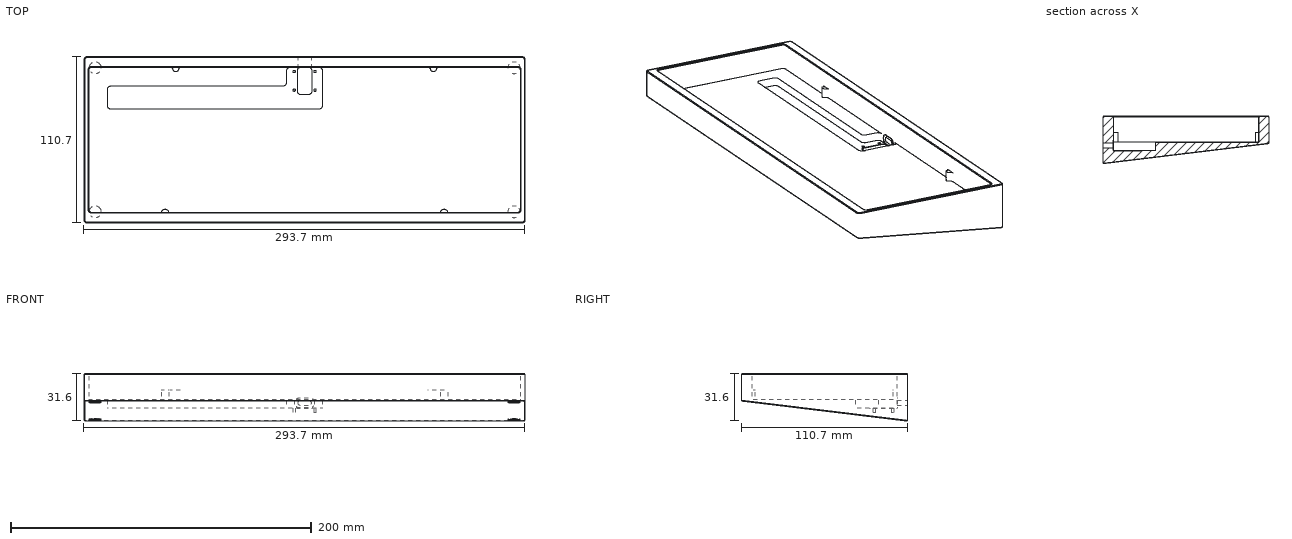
import cadquery as cq
import math

LENGTH = 293.7
DEPTH = 110.7
HEIGHT = 31.61
SLOPE = math.radians(6.9)
CORNER_RADIUS = 2.0
EDGE_CHAMFER = 0.5

BACK_BOTTOM = -EDGE_CHAMFER * math.sin(SLOPE)
FRONT_BOTTOM = BACK_BOTTOM + DEPTH * math.tan(SLOPE)

SIDE_WALL = 3.2
END_WALL = 7.05
CAVITY_DEPTH = 17.25
CAVITY_RADIUS = 1.75
CAVITY_LENGTH = LENGTH - 2 * SIDE_WALL
CAVITY_WIDTH = DEPTH - 2 * END_WALL
CAVITY_BACK = CAVITY_WIDTH / 2
FLOOR_Z = HEIGHT - CAVITY_DEPTH

TROUGH_DEPTH = 5.5
TROUGH_Z = FLOOR_Z - TROUGH_DEPTH
TROUGH_RADIUS = 2.5
TROUGH_LEFT = -131.4
TROUGH_FRONT = 20.5
CHANNEL_BACK = 35.8
BAY_WIDTH = 24.0

RELIEF_WIDTH = 9.7
RELIEF_FRONT = 30.2
RELIEF_LENGTH = CAVITY_BACK - RELIEF_FRONT
RELIEF_DEPTH = 0.4
RELIEF_RADIUS = 2.3

SCREW_DIAMETER = 1.6
SCREW_DEPTH = 3.0
SCREW_SPACING_X = 13.9
SCREW_ROWS_Y = (33.1, 45.5)

PORT_Z = 12.1
PORT_WIDTH = 9.0
PORT_HEIGHT = 3.2
SEAT_WIDTH = 13.5
SEAT_HEIGHT = 6.4
SEAT_DEPTH = 0.3

POST_HEIGHT = 6.3
BACK_POST_X = 85.8
BACK_POST_REACH = 2.9
BACK_POST_RADIUS = 2.0
BACK_POST_FILLET = 1.6
FRONT_POST_X = 92.9
FRONT_POST_REACH = 2.1
FRONT_POST_RADIUS = 2.5

FOOT_DIAMETER = 8.0
FOOT_DEPTH = 0.5
FOOT_INSET = 7.4

SIDES = (-1, 1)


def level(z):
    return cq.Workplane("XY", origin=(0, 0, z))


def wedge():
    profile = [
        (-DEPTH / 2, FRONT_BOTTOM),
        (DEPTH / 2, BACK_BOTTOM),
        (DEPTH / 2, HEIGHT),
        (-DEPTH / 2, HEIGHT),
    ]
    body = cq.Workplane("YZ").polyline(profile).close().extrude(LENGTH / 2, both=True)
    return body.edges("|Z").fillet(CORNER_RADIUS)


def cavity():
    block = level(FLOOR_Z).rect(CAVITY_LENGTH, CAVITY_WIDTH).extrude(CAVITY_DEPTH)
    return block.edges("|Z").fillet(CAVITY_RADIUS)


def hollow_case():
    return wedge().cut(cavity()).faces(">Z or <Z").edges().chamfer(EDGE_CHAMFER)


def trough():
    outline = [
        (TROUGH_LEFT, TROUGH_FRONT),
        (BAY_WIDTH / 2, TROUGH_FRONT),
        (BAY_WIDTH / 2, CAVITY_BACK),
        (-BAY_WIDTH / 2, CAVITY_BACK),
        (-BAY_WIDTH / 2, CHANNEL_BACK),
        (TROUGH_LEFT, CHANNEL_BACK),
    ]
    block = level(TROUGH_Z).polyline(outline).close().extrude(TROUGH_DEPTH)
    return block.edges("|Z").fillet(TROUGH_RADIUS)


def relief():
    centre_y = RELIEF_FRONT + RELIEF_LENGTH / 2
    block = level(TROUGH_Z).center(0, centre_y).rect(RELIEF_WIDTH, RELIEF_LENGTH).extrude(-RELIEF_DEPTH)
    return block.edges("|Z").fillet(RELIEF_RADIUS)


def screw_holes():
    centres = [(side * SCREW_SPACING_X / 2, y) for side in SIDES for y in SCREW_ROWS_Y]
    return level(TROUGH_Z).pushPoints(centres).circle(SCREW_DIAMETER / 2).extrude(-SCREW_DEPTH)


def wall_slot(width, height, depth):
    """Stadium-shaped cutter running from the inside of the back wall towards +Y."""
    plane = cq.Workplane("XZ", origin=(0, CAVITY_BACK, PORT_Z))
    return plane.slot2D(width, height).extrude(-depth)


def port():
    opening = wall_slot(PORT_WIDTH, PORT_HEIGHT, END_WALL)
    return opening.union(wall_slot(SEAT_WIDTH, SEAT_HEIGHT, SEAT_DEPTH))


def back_post(x):
    nose_y = CAVITY_BACK - BACK_POST_REACH + BACK_POST_RADIUS
    fillet_y = CAVITY_BACK - BACK_POST_FILLET
    centre_distance = BACK_POST_RADIUS + BACK_POST_FILLET
    half_width = math.sqrt(centre_distance**2 - (nose_y - fillet_y) ** 2)
    join_angle = math.atan2(nose_y - fillet_y, -half_width)
    mid_angle = (math.pi / 2 + join_angle) / 2

    def on_fillet(angle):
        return (
            half_width + BACK_POST_FILLET * math.cos(angle),
            fillet_y + BACK_POST_FILLET * math.sin(angle),
        )

    mid_x, mid_y = on_fillet(mid_angle)
    join_x, join_y = on_fillet(join_angle)
    profile = (
        level(FLOOR_Z)
        .moveTo(half_width, CAVITY_BACK)
        .threePointArc((mid_x, mid_y), (join_x, join_y))
        .threePointArc((0, nose_y - BACK_POST_RADIUS), (-join_x, join_y))
        .threePointArc((-mid_x, mid_y), (-half_width, CAVITY_BACK))
        .close()
    )
    return profile.extrude(POST_HEIGHT).translate((x, 0, 0))


def front_post(x):
    centre_y = -CAVITY_BACK + FRONT_POST_REACH - FRONT_POST_RADIUS
    return level(FLOOR_Z).center(x, centre_y).circle(FRONT_POST_RADIUS).extrude(POST_HEIGHT)


def foot_recesses():
    inward = cq.Vector(0, math.sin(SLOPE), math.cos(SLOPE))
    bottom_centre = cq.Vector(0, 0, (FRONT_BOTTOM + BACK_BOTTOM) / 2)
    bottom = cq.Plane(origin=bottom_centre, xDir=cq.Vector(1, 0, 0), normal=inward)
    x = LENGTH / 2 - FOOT_INSET
    along_slope = (DEPTH / 2 - FOOT_INSET) / math.cos(SLOPE)
    centres = [(side * x, end * along_slope) for side in SIDES for end in SIDES]
    return cq.Workplane(bottom).pushPoints(centres).circle(FOOT_DIAMETER / 2).extrude(FOOT_DEPTH)


result = hollow_case()
for cutter in (trough(), relief(), screw_holes(), port(), foot_recesses()):
    result = result.cut(cutter)
for side in SIDES:
    result = result.union(back_post(side * BACK_POST_X))
    result = result.union(front_post(side * FRONT_POST_X))